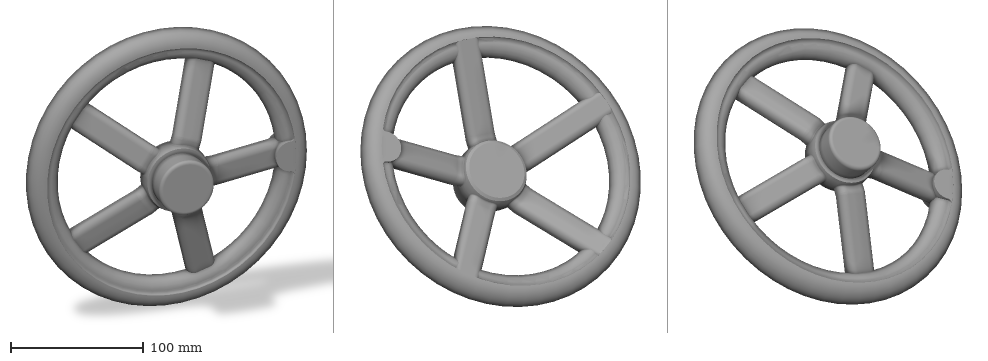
import cadquery as cq
import math


wheel_radius = 112
rim_width = 24.2
rim_half = rim_width / 2
seam_radius = wheel_radius - rim_half
bead_step = 3.0
bead_radius = rim_half - bead_step
bead_center_radius = seam_radius - bead_step
bead_inner_radius = bead_center_radius - bead_radius

hub_front = 20.5
hub_back = 41.9
hub_front_radius = 24.5
hub_middle_radius = 26.7
hub_back_radius = 25.5
hub_chamfer_depth = 1.3
hub_chamfer_width = 2.2
shank_radius = 44.0 / 2
shank_back = 60.0
shank_edge_fillet = 2.7

spoke_count = 5
spoke_half_width = 11.5
spoke_thickness = 13.2
spoke_edge_fillet = 5.5
spoke_bend_fillet = 6.7
spoke_root_fillet = 1.0
spoke_foot_front = 24.9
spoke_bend_radius = 29.3
foot_back = spoke_foot_front + spoke_thickness
foot_middle = (spoke_foot_front + foot_back) / 2
foot_root_radius = hub_front_radius / 2

face_inset = 0.5
rim_overlap = 2.2

tolerance = 0.2

pad_radius = 12.0
pad_center_radius = 96.0
pad_flare = 3.0


def make_rim():
    """Full-round grip outside, smaller full-round bead inside, blended by concave quarter rounds."""
    inset = bead_step * math.sqrt(0.5)
    profile = (
        cq.Workplane("XY")
        .moveTo(0, seam_radius)
        .threePointArc((rim_half, wheel_radius), (rim_width, seam_radius))
        .threePointArc(
            (rim_width - inset, bead_center_radius + inset),
            (rim_width - bead_step, bead_center_radius),
        )
        .threePointArc((rim_half, bead_inner_radius), (bead_step, bead_center_radius))
        .threePointArc((inset, bead_center_radius + inset), (0, seam_radius))
        .close()
    )
    return profile.revolve(360, (0, 0, 0), (1, 0, 0))


def make_hub():
    """Hub bulging towards the middle of the feet, with a round shank behind it."""
    body = (
        cq.Workplane("XY")
        .moveTo(hub_front, 0)
        .lineTo(hub_front, hub_front_radius - hub_chamfer_width)
        .lineTo(hub_front + hub_chamfer_depth, hub_front_radius)
        .threePointArc((foot_middle, hub_middle_radius), (hub_back, hub_back_radius))
        .lineTo(hub_back, 0)
        .close()
        .revolve(360, (0, 0, 0), (1, 0, 0))
    )
    shank = (
        cq.Workplane("YZ").workplane(offset=foot_middle)
        .circle(shank_radius).extrude(shank_back - foot_middle)
        .faces(">X").edges().fillet(shank_edge_fillet)
    )
    return body.union(shank)


def make_spoke():
    """Spoke along +Y: level foot at the hub, then a straight slope forward to the rim."""
    slope = math.atan2(spoke_foot_front - face_inset, seam_radius - spoke_bend_radius)
    back_bend_radius = spoke_bend_radius + spoke_thickness * math.tan(slope / 2)
    end_radius = seam_radius + rim_overlap
    end_back = foot_back - (end_radius - back_bend_radius) * math.tan(slope)
    spoke = (
        cq.Workplane("XY")
        .polyline([
            (spoke_foot_front, foot_root_radius),
            (spoke_foot_front, spoke_bend_radius),
            (face_inset, seam_radius),
            (face_inset, end_radius),
            (end_back, end_radius),
            (foot_back, back_bend_radius),
            (foot_back, foot_root_radius),
        ])
        .close()
        .extrude(spoke_half_width, both=True)
    )
    slope_middle = (spoke_bend_radius + seam_radius) / 2
    near_bend = cq.selectors.BoxSelector(
        (0, foot_root_radius + 2.2, -wheel_radius), (shank_back, slope_middle, wheel_radius)
    )
    spoke = spoke.edges("|Z").edges(near_bend).fillet(spoke_bend_fillet)
    long_edges = spoke.faces("<Z or >Z").edges("not #Y")
    return long_edges.fillet(spoke_edge_fillet)


def make_handle_pad():
    """Round pad across the rim on the +Y spoke, flared where it runs into the grip."""
    reach = seam_radius - pad_flare
    spread = pad_radius + pad_flare
    flare_y = (reach**2 - spread**2 + pad_center_radius**2) / (2 * pad_center_radius)
    flare_z = math.sqrt(reach**2 - flare_y**2)

    pad_angle = math.atan2(flare_z, flare_y - pad_center_radius)
    seam_angle = math.atan2(flare_z, flare_y)
    middle_angle = (pad_angle - math.pi + seam_angle) / 2

    on_pad = (pad_center_radius + pad_radius * math.cos(pad_angle), pad_radius * math.sin(pad_angle))
    on_flare = (
        flare_y + pad_flare * math.cos(middle_angle),
        flare_z + pad_flare * math.sin(middle_angle),
    )
    on_seam = (seam_radius * math.cos(seam_angle), seam_radius * math.sin(seam_angle))
    end_y = seam_radius + face_inset

    def mirrored(point):
        return (point[0], -point[1])

    return (
        cq.Workplane("YZ").workplane(offset=face_inset)
        .moveTo(end_y, on_seam[1])
        .lineTo(*on_seam)
        .threePointArc(on_flare, on_pad)
        .threePointArc((pad_center_radius - pad_radius, 0), mirrored(on_pad))
        .threePointArc(mirrored(on_flare), mirrored(on_seam))
        .lineTo(end_y, -on_seam[1])
        .close()
        .extrude(rim_width - 2 * face_inset)
    )


def make_spider():
    """Hub with all its spokes, rounded where the spokes grow out of the hub."""
    spider = make_hub()
    spoke = make_spoke()
    for index in range(spoke_count):
        spider = spider.union(spoke.rotate((0, 0, 0), (1, 0, 0), index * 360 / spoke_count))

    def is_root_edge(edge):
        center = edge.Center()
        radius = math.hypot(center.y, center.z)
        return (
            spoke_foot_front - tolerance < center.x < foot_back + tolerance
            and hub_front_radius < radius < hub_middle_radius
            and edge.geomType() != "LINE"
        )

    root_edges = [edge for edge in spider.edges().vals() if is_root_edge(edge)]
    return spider.newObject(root_edges).fillet(spoke_root_fillet)


result = make_rim().union(make_spider()).union(make_handle_pad())